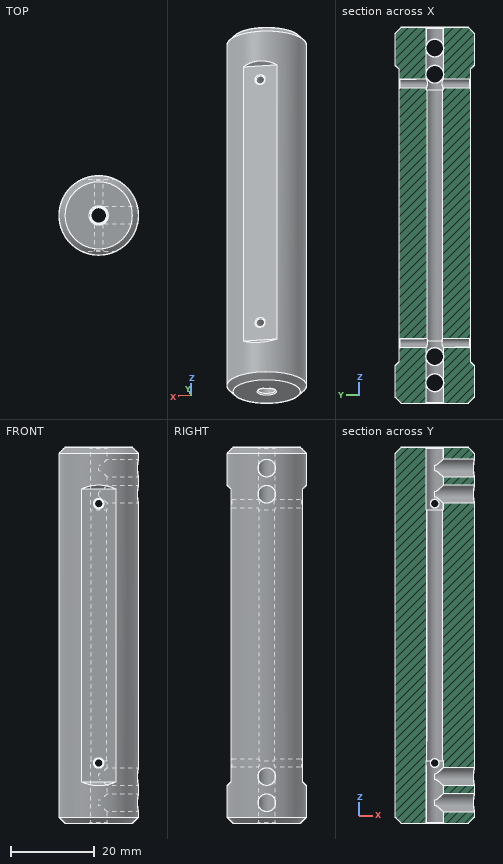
import cadquery as cq

BAR_DIAMETER = 19.05
BAR_LENGTH = 90.0
END_CHAMFER = 1.5

BORE_DIAMETER = 3.7
BORE_END_DIAMETER = 4.0
BORE_END_DEPTH = 15.0
BORE_COUNTERSINK = 0.3

FLAT_FLOOR_LENGTH = 70.0
ACROSS_FLATS = 17.2

FLAT_HOLE_DIAMETER = 2.0
FLAT_HOLE_COUNTERSINK = 0.25
FLAT_HOLE_SPACING = 62.0
FLAT_HOLE_OFFSET = 0.5

SIDE_HOLE_DIAMETER = 4.2
SIDE_HOLE_HEIGHTS = (33.75, 40.0)

BAR_RADIUS = BAR_DIAMETER / 2
HALF_LENGTH = BAR_LENGTH / 2
FLAT_DISTANCE = ACROSS_FLATS / 2
FLAT_DEPTH = BAR_RADIUS - FLAT_DISTANCE


def make_bar():
    bar = cq.Workplane("XY").workplane(offset=-HALF_LENGTH).circle(BAR_RADIUS).extrude(BAR_LENGTH)
    return bar.edges("%CIRCLE").chamfer(END_CHAMFER)


def make_countersunk_drill(diameter, countersink_depth, depth, mouth, inward):
    """Drill from the point `mouth` along `inward`, with a 45 degree countersink at the mouth."""
    radius = diameter / 2
    mouth_radius = radius + countersink_depth
    start = cq.Vector(*mouth)
    direction = cq.Vector(*inward)
    drill = cq.Solid.makeCylinder(radius, depth, start, direction)
    countersink = cq.Solid.makeCone(mouth_radius, 0, mouth_radius, start, direction)
    return cq.Workplane(drill.fuse(countersink))


def make_bore():
    bore = cq.Workplane("XY").workplane(offset=-HALF_LENGTH)
    return bore.circle(BORE_DIAMETER / 2).extrude(BAR_LENGTH)


def make_bore_end(end):
    """Wider part of the bore at the -Z (end = -1) or +Z (end = 1) face."""
    mouth = (0, 0, end * HALF_LENGTH)
    inward = (0, 0, -end)
    return make_countersunk_drill(BORE_END_DIAMETER, BORE_COUNTERSINK, BORE_END_DEPTH, mouth, inward)


def make_flat_cutter(side):
    """Trapezoid removed from the -Y (side = -1) or +Y (side = 1) face of the bar."""
    half_floor = FLAT_FLOOR_LENGTH / 2
    half_opening = half_floor + FLAT_DEPTH
    profile = [
        (side * FLAT_DISTANCE, -half_floor),
        (side * FLAT_DISTANCE, half_floor),
        (side * BAR_RADIUS, half_opening),
        (side * BAR_RADIUS, -half_opening),
    ]
    return cq.Workplane("YZ").polyline(profile).close().extrude(BAR_RADIUS, both=True).clean()


def make_flat_drill(side, height):
    """Half of a cross hole, drilled from one flat to the bar axis."""
    mouth = (0, side * FLAT_DISTANCE, height)
    inward = (0, -side, 0)
    return make_countersunk_drill(
        FLAT_HOLE_DIAMETER, FLAT_HOLE_COUNTERSINK, FLAT_DISTANCE, mouth, inward
    )


def make_side_holes(end):
    """Pair of radial holes from the +X side to the bar axis, near one end."""
    centres = [(0, end * height) for height in SIDE_HOLE_HEIGHTS]
    return cq.Workplane("YZ").pushPoints(centres).circle(SIDE_HOLE_DIAMETER / 2).extrude(BAR_RADIUS)


result = make_bar().cut(make_bore())
for side in (-1, 1):
    result = result.cut(make_flat_cutter(side))

for end in (-1, 1):
    result = result.cut(make_bore_end(end)).cut(make_side_holes(end))
    flat_hole_height = FLAT_HOLE_OFFSET + end * FLAT_HOLE_SPACING / 2
    for side in (-1, 1):
        result = result.cut(make_flat_drill(side, flat_hole_height))